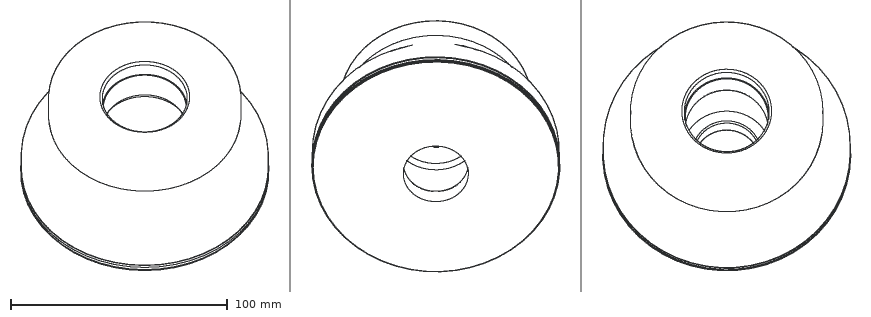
import cadquery as cq
import math

HEIGHT = 63.5
COVER_HEIGHT = 10.0

COLLAR_RADIUS = 44.4
COLLAR_ROUND = 1.0
COLLAR_BOTTOM = 49.8
NECK_RADIUS = 44.0
NECK_STEP_RADIUS = 44.2
NECK_STEP_HEIGHT = 0.7
SKIRT_RADIUS = 57.0
SKIRT_TOP = 19.2
NECK_BLEND = 8.7
SHOULDER_BLEND = 10.0
CONE_ANGLE = 30
HUB_EDGE_CHAMFER = 0.2

MOUTH_RADIUS = 19.6
MOUTH_CHAMFER = 1.1
MOUTH_DEPTH = 8.2
BORE_RADIUS = 19.1
BORE_END_DEPTH = 23.0
CAVITY_RADIUS = 20.6
CAVITY_ANGLE = 25

COVER_RADIUS = 57.2
COVER_TOP_CHAMFER_WIDTH = 0.6
COVER_TOP_CHAMFER_HEIGHT = 0.9
RIM_BOTTOM = 7.3
RIM_STEP = 0.3
COVER_ROUND = 1.4
COVER_BASE_RADIUS = 50.8
COVER_BEVEL_ANGLE = 45
COVER_BASE_ROUND = 1.0
COVER_HOLE_RADIUS = 15.0
COVER_HOLE_CHAMFER = 0.8


def revolve_about_z(profile):
    """Turn a closed (radius, height) profile into a solid of revolution."""
    return profile.close().revolve(360, (0, 0, 0), (0, 1, 0))


def make_hub():
    """Bell-shaped hub with a stepped bore."""
    tilt = math.radians(CONE_ANGLE)
    shoulder_end = (
        SKIRT_RADIUS - SHOULDER_BLEND * (1 - math.cos(tilt)),
        SKIRT_TOP + SHOULDER_BLEND * math.sin(tilt),
    )
    shoulder_mid = (
        SKIRT_RADIUS - SHOULDER_BLEND * (1 - math.cos(tilt / 2)),
        SKIRT_TOP + SHOULDER_BLEND * math.sin(tilt / 2),
    )

    neck_start_radius = NECK_RADIUS + NECK_BLEND * (1 - math.cos(tilt))
    cone_height = (shoulder_end[0] - neck_start_radius) / math.tan(tilt)
    neck_start = (neck_start_radius, shoulder_end[1] + cone_height)
    waist = (NECK_RADIUS, neck_start[1] + NECK_BLEND * math.sin(tilt))
    neck_end = (NECK_STEP_RADIUS, COLLAR_BOTTOM - NECK_STEP_HEIGHT)

    collar_round_inset = COLLAR_ROUND * (1 - math.cos(math.radians(45)))
    collar_round_mid = (COLLAR_RADIUS - collar_round_inset, HEIGHT - collar_round_inset)

    bore_end = HEIGHT - BORE_END_DEPTH
    flare_height = (CAVITY_RADIUS - BORE_RADIUS) / math.tan(math.radians(CAVITY_ANGLE))

    profile = (
        cq.Workplane("XZ")
        .moveTo(CAVITY_RADIUS, COVER_HEIGHT)
        .lineTo(SKIRT_RADIUS - HUB_EDGE_CHAMFER, COVER_HEIGHT)
        .lineTo(SKIRT_RADIUS, COVER_HEIGHT + HUB_EDGE_CHAMFER)
        .lineTo(SKIRT_RADIUS, SKIRT_TOP)
        .threePointArc(shoulder_mid, shoulder_end)
        .lineTo(*neck_start)
        .threePointArc(waist, neck_end)
        .lineTo(COLLAR_RADIUS, COLLAR_BOTTOM)
        .lineTo(COLLAR_RADIUS, HEIGHT - COLLAR_ROUND)
        .threePointArc(collar_round_mid, (COLLAR_RADIUS - COLLAR_ROUND, HEIGHT))
        .lineTo(MOUTH_RADIUS + MOUTH_CHAMFER, HEIGHT)
        .lineTo(MOUTH_RADIUS, HEIGHT - MOUTH_CHAMFER)
        .lineTo(MOUTH_RADIUS, HEIGHT - MOUTH_DEPTH)
        .lineTo(BORE_RADIUS, HEIGHT - MOUTH_DEPTH)
        .lineTo(BORE_RADIUS, bore_end)
        .lineTo(CAVITY_RADIUS, bore_end - flare_height)
    )
    return revolve_about_z(profile)


def make_cover():
    """Flat round cover with a stepped, bevelled rim and a centre hole."""
    step_radius = COVER_RADIUS - RIM_STEP
    side_radius = step_radius - RIM_STEP
    bevel = math.radians(COVER_BEVEL_ANGLE)
    bevel_top = (side_radius - COVER_BASE_RADIUS) / math.tan(bevel)
    side_trim = COVER_ROUND * math.tan(bevel / 2)
    side_end = (side_radius, bevel_top + side_trim)
    side_round_mid = (
        side_radius - COVER_ROUND * (1 - math.cos(bevel / 2)),
        side_end[1] - COVER_ROUND * math.sin(bevel / 2),
    )
    bevel_start = (
        side_radius - COVER_ROUND * (1 - math.cos(bevel)),
        side_end[1] - COVER_ROUND * math.sin(bevel),
    )

    base_trim = COVER_BASE_ROUND * math.tan(bevel / 2)
    base_end_radius = COVER_BASE_RADIUS - base_trim
    base_round_mid = (
        base_end_radius + COVER_BASE_ROUND * math.sin(bevel / 2),
        COVER_BASE_ROUND * (1 - math.cos(bevel / 2)),
    )
    bevel_end = (
        base_end_radius + COVER_BASE_ROUND * math.sin(bevel),
        COVER_BASE_ROUND * (1 - math.cos(bevel)),
    )

    profile = (
        cq.Workplane("XZ")
        .moveTo(COVER_HOLE_RADIUS, 0)
        .lineTo(base_end_radius, 0)
        .threePointArc(base_round_mid, bevel_end)
        .lineTo(*bevel_start)
        .threePointArc(side_round_mid, side_end)
        .lineTo(side_radius, RIM_BOTTOM - 3 * RIM_STEP)
        .lineTo(step_radius, RIM_BOTTOM - 2 * RIM_STEP)
        .lineTo(step_radius, RIM_BOTTOM - RIM_STEP)
        .lineTo(COVER_RADIUS, RIM_BOTTOM)
        .lineTo(COVER_RADIUS, COVER_HEIGHT - COVER_TOP_CHAMFER_HEIGHT)
        .lineTo(COVER_RADIUS - COVER_TOP_CHAMFER_WIDTH, COVER_HEIGHT)
        .lineTo(COVER_HOLE_RADIUS + COVER_HOLE_CHAMFER, COVER_HEIGHT)
        .lineTo(COVER_HOLE_RADIUS, COVER_HEIGHT - COVER_HOLE_CHAMFER)
    )
    return revolve_about_z(profile)


hub = make_hub()
cover = make_cover()

result = cq.Compound.makeCompound([hub.val(), cover.val()])